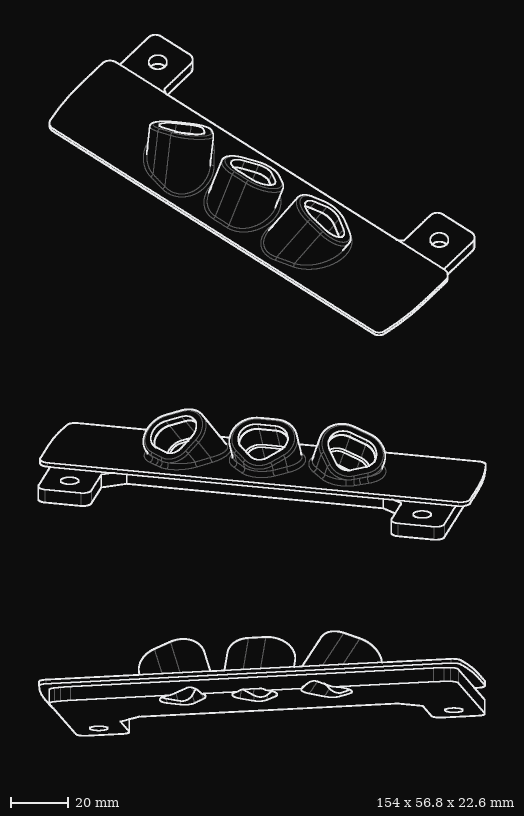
import cadquery as cq
import math

plate_length = 154.0
plate_depth = 37.0
plate_thickness = 1.5
plate_rear_radius = 3.4
plate_front_radius = 3.1
side_curve_start = 21.5
side_curve_radius = 90.9

total_depth = 56.8
block_height = 5.0
block_half_length = 72.7
block_front = 5.7
block_rear = 33.9
nose_half_length = 66.4
nose_angle = 10.0
nose_radius = 21.3
block_corner_radius = 2.8
tab_width = 19.0
tab_corner_radius = 3.1
gusset_start = 39.1
gusset_angle = 34.0
screw_diameter = 6.3
screw_x = 63.1
screw_y = 47.1

flat_half_width = 3.1
bore_side_radius = 5.9
bore_peak_radius = 4.6
peak_angle = 42.0
wall = 3.1
lip_width = 0.2
lip_depth = 3.1
ledge_width = 1.1
ledge_depth = 13.0
rim_radius = 1.0
base_fillet = 1.2

socket_tilt = 33.6
side_lean = 21.8
socket_spacing = 32.0
mouth_y = 22.2
middle_mouth_z = 17.0
side_mouth_z = 16.2
socket_length = 61.6

plate_top = block_height + plate_thickness


def make_plate():
    """Cover plate whose ends curve inward towards the front edge."""
    half = plate_length / 2
    curve_angle = math.asin(side_curve_start / side_curve_radius)
    front_half = half - side_curve_radius * (1 - math.cos(curve_angle))
    mid_x = half - side_curve_radius * (1 - math.cos(curve_angle / 2))
    mid_y = side_curve_start - side_curve_radius * math.sin(curve_angle / 2)
    plate = (
        cq.Workplane("XY", origin=(0, 0, block_height))
        .moveTo(-front_half, 0)
        .lineTo(front_half, 0)
        .threePointArc((mid_x, mid_y), (half, side_curve_start))
        .lineTo(half, plate_depth)
        .lineTo(-half, plate_depth)
        .lineTo(-half, side_curve_start)
        .threePointArc((-mid_x, mid_y), (-front_half, 0))
        .close()
        .extrude(plate_thickness)
    )
    plate = plate.edges("|Z and >Y").fillet(plate_rear_radius)
    return plate.edges("|Z and <Y").fillet(plate_front_radius)


def fillet_both_ends(solid, x, y, radius):
    """Round the upright edges of the block at (x, y) and (-x, y)."""
    reach = 0.2
    for side in (-1, 1):
        low = (side * x - reach, y - reach, -reach)
        high = (side * x + reach, y + reach, block_height + reach)
        solid = solid.edges(cq.selectors.BoxSelector(low, high)).fillet(radius)
    return solid


def make_block():
    """Block with a rear tab and gusset at each end; the front face bends back at the ends."""
    tab_inner = block_half_length - tab_width
    gusset_run = (gusset_start - block_rear) / math.tan(math.radians(gusset_angle))
    corner_rise = (block_half_length - nose_half_length) * math.tan(math.radians(nose_angle))
    corner_y = block_front + corner_rise
    right_side = [
        (nose_half_length, block_front),
        (block_half_length, corner_y),
        (block_half_length, total_depth),
        (tab_inner, total_depth),
        (tab_inner, gusset_start),
        (tab_inner - gusset_run, block_rear),
    ]
    left_side = [(-x, y) for x, y in reversed(right_side)]
    block = cq.Workplane("XY").polyline(right_side + left_side).close().extrude(block_height)

    block = fillet_both_ends(block, nose_half_length, block_front, nose_radius)
    block = fillet_both_ends(block, block_half_length, corner_y, block_corner_radius)
    block = block.edges("|Z and >Y").fillet(tab_corner_radius)
    screw_holes = (
        cq.Workplane("XY")
        .pushPoints([(-screw_x, screw_y), (screw_x, screw_y)])
        .circle(screw_diameter / 2)
        .extrude(block_height)
    )
    return block.cut(screw_holes)


def socket_prism(plane, offset, depth):
    """Extrude the bore outline, grown by offset, from the mouth plane downwards."""
    side = bore_side_radius + offset
    peak = bore_peak_radius + offset
    angle = math.radians(peak_angle)
    normal_x = math.sin(angle)
    normal_y = math.cos(angle)
    peak_centre_y = (
        flat_half_width * math.tan(angle)
        + (bore_side_radius - bore_peak_radius) / normal_y
    )
    flank_low = (flat_half_width + side * normal_x, side * normal_y)
    flank_high = (peak * normal_x, peak_centre_y + peak * normal_y)
    arc_angle = -angle / 2
    arc_mid = (flat_half_width + side * math.cos(arc_angle), side * math.sin(arc_angle))
    return (
        cq.Workplane(plane)
        .moveTo(-flat_half_width, -side)
        .lineTo(flat_half_width, -side)
        .threePointArc(arc_mid, flank_low)
        .lineTo(*flank_high)
        .threePointArc((0, peak_centre_y + peak), (-flank_high[0], flank_high[1]))
        .lineTo(-flank_low[0], flank_low[1])
        .threePointArc((-arc_mid[0], arc_mid[1]), (-flat_half_width, -side))
        .close()
        .extrude(-depth)
    )


def mouth_plane(x, z, lean):
    """Plane of a socket mouth; a positive lean tips the socket towards +X."""
    tilt = math.radians(socket_tilt)
    turn = math.radians(lean)
    axis = (
        math.cos(tilt) * math.sin(turn),
        math.sin(tilt),
        math.cos(tilt) * math.cos(turn),
    )
    across = (math.cos(turn), 0, -math.sin(turn))
    return cq.Plane(origin=(x, mouth_y, z), xDir=across, normal=axis)


def make_shell(plane):
    """Outer wall of a socket with a rounded rim, ending inside the plate."""
    shell = socket_prism(plane, wall, socket_length)
    mouth_face = cq.selectors.DirectionMinMaxSelector(plane.zDir, True)
    shell = shell.faces(mouth_face).edges().fillet(rim_radius)
    below_plate = (
        cq.Workplane("XY", origin=(0, 0, block_height))
        .rect(2 * plate_length, 2 * plate_length)
        .extrude(-2 * socket_length)
    )
    return shell.cut(below_plate)


def make_bore(plane):
    """Opening of a socket: lipped mouth, bore, and a narrower hole through the block."""
    mouth = socket_prism(plane, -lip_width, lip_depth)
    around_mouth = socket_prism(plane, wall, lip_depth)
    bore = socket_prism(plane, 0, ledge_depth).cut(around_mouth)
    through = socket_prism(plane, -ledge_width, socket_length)
    return through.union(bore).union(mouth)


sockets = [
    mouth_plane(-socket_spacing, side_mouth_z, -side_lean),
    mouth_plane(0, middle_mouth_z, 0),
    mouth_plane(socket_spacing, side_mouth_z, side_lean),
]

body = make_plate().union(make_block())
for socket in sockets:
    body = body.union(make_shell(socket))

foot_reach = 0.08
half_span = plate_length / 2 - plate_rear_radius
foot_box = cq.selectors.BoxSelector(
    (-half_span, foot_reach, plate_top - foot_reach),
    (half_span, plate_depth - foot_reach, plate_top + foot_reach),
)
body = body.edges(foot_box).fillet(base_fillet)

for socket in sockets:
    body = body.cut(make_bore(socket))

result = body